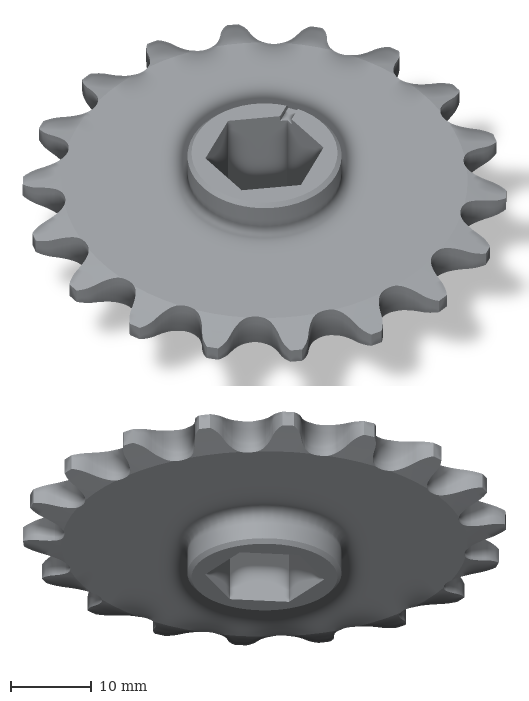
import cadquery as cq
import math


TOOTH_COUNT = 18
CHAIN_PITCH = 9.525
ROLLER_DIAMETER = 5.08
HALF_STEP = 180 / TOOTH_COUNT
PITCH_RADIUS = CHAIN_PITCH / 2 / math.sin(math.radians(HALF_STEP))
TIP_RADIUS = CHAIN_PITCH / 2 * (0.6 + 1 / math.tan(math.radians(HALF_STEP)))

PLATE_THICKNESS = 4.3
TIP_THICKNESS = 1.9
FLAT_FACE_RADIUS = 25.1

HUB_HEIGHT = 13.49
HUB_RADIUS = 9.525
HUB_CHAMFER = 0.508
HUB_FILLET = 1.0
HEX_ACROSS_FLATS = 12.75

SLOT_WIDTH = 1.524
SLOT_DEPTH = 0.8


def polar(origin, radius, angle):
    """Point at a distance and an angle in degrees from the origin point."""
    turn = math.radians(angle)
    return (origin[0] + radius * math.cos(turn), origin[1] + radius * math.sin(turn))


def mirrored(point):
    """The point reflected in the Y axis."""
    return (-point[0], point[1])


def make_gap_cutter():
    """Standard ASA tooth gap, with its seat centred on the +Y axis at the pitch radius."""
    seat_radius = (1.005 * ROLLER_DIAMETER + 0.0762) / 2
    seat_angle = 35 + 60 / TOOTH_COUNT
    flank_sweep = 18 - 56 / TOOTH_COUNT
    tip_angle = 17 - 64 / TOOTH_COUNT
    flank_end_angle = flank_sweep - seat_angle
    flank_offset = 0.8 * ROLLER_DIAMETER
    tip_offset = 1.4 * ROLLER_DIAMETER

    seat_centre = (0, PITCH_RADIUS)
    flank_centre = polar(seat_centre, flank_offset, 180 - seat_angle)
    flank_radius = flank_offset + seat_radius
    tip_centre = polar(seat_centre, tip_offset, -HALF_STEP)

    seat_bottom = polar(seat_centre, seat_radius, -90)
    seat_end = polar(seat_centre, seat_radius, -seat_angle)
    flank_middle = polar(flank_centre, flank_radius, -seat_angle + flank_sweep / 2)
    flank_end = polar(flank_centre, flank_radius, flank_end_angle)

    straight_length = (
        tip_offset * math.sin(math.radians(tip_angle))
        - flank_offset * math.sin(math.radians(flank_sweep))
    )
    straight_end = polar(flank_end, straight_length, flank_end_angle + 90)
    tip_arc_radius = math.dist(tip_centre, straight_end)

    apex_reach = math.acos((tip_offset - CHAIN_PITCH / 2) / tip_arc_radius)
    apex_angle = 180 - HALF_STEP - math.degrees(apex_reach)
    straight_end_angle = 180 + flank_end_angle
    tip_middle = polar(tip_centre, tip_arc_radius, (straight_end_angle + apex_angle) / 2)
    apex = polar(tip_centre, tip_arc_radius, apex_angle)
    outer_point_radius = TIP_RADIUS + CHAIN_PITCH

    return (
        cq.Workplane("XY")
        .workplane(offset=-PLATE_THICKNESS / 2)
        .moveTo(*apex)
        .threePointArc(tip_middle, straight_end)
        .lineTo(*flank_end)
        .threePointArc(flank_middle, seat_end)
        .threePointArc(seat_bottom, mirrored(seat_end))
        .threePointArc(mirrored(flank_middle), mirrored(flank_end))
        .lineTo(*mirrored(straight_end))
        .threePointArc(mirrored(tip_middle), mirrored(apex))
        .lineTo(0, outer_point_radius)
        .close()
        .extrude(PLATE_THICKNESS)
    )


def make_body():
    """Plate and hub as one revolved profile, with coned rims and filleted hub roots."""
    rim_radius = TIP_RADIUS / math.cos(math.radians(HALF_STEP))
    cone_slope = (PLATE_THICKNESS - TIP_THICKNESS) / 2 / (TIP_RADIUS - FLAT_FACE_RADIUS)
    plate_top = PLATE_THICKNESS / 2
    rim_top = plate_top - cone_slope * (rim_radius - FLAT_FACE_RADIUS)
    hub_top = HUB_HEIGHT / 2
    fillet_radius_centre = HUB_RADIUS + HUB_FILLET
    fillet_height_centre = plate_top + HUB_FILLET
    fillet_middle = polar((fillet_radius_centre, fillet_height_centre), HUB_FILLET, 225)

    upper_half = (
        cq.Workplane("XZ")
        .lineTo(rim_radius, 0)
        .lineTo(rim_radius, rim_top)
        .lineTo(FLAT_FACE_RADIUS, plate_top)
        .lineTo(fillet_radius_centre, plate_top)
        .threePointArc(fillet_middle, (HUB_RADIUS, fillet_height_centre))
        .lineTo(HUB_RADIUS, hub_top - HUB_CHAMFER)
        .lineTo(HUB_RADIUS - HUB_CHAMFER, hub_top)
        .lineTo(0, hub_top)
        .close()
        .revolve(360, (0, 0), (0, 1))
    )
    return upper_half.union(upper_half.mirror("XY"))


def make_tip_polygon():
    """Prism whose flats form the flat tooth tips; one flat faces +X."""
    corner_diameter = 2 * TIP_RADIUS / math.cos(math.radians(HALF_STEP))
    return (
        cq.Workplane("XY")
        .workplane(offset=-HUB_HEIGHT / 2)
        .polygon(TOOTH_COUNT, corner_diameter)
        .extrude(HUB_HEIGHT)
        .rotate((0, 0, 0), (0, 0, 1), HALF_STEP)
    )


def cut_teeth(body):
    gap = make_gap_cutter()
    first_gap_turn = HALF_STEP - 90
    for index in range(TOOTH_COUNT):
        turn = first_gap_turn + index * 2 * HALF_STEP
        body = body.cut(gap.rotate((0, 0, 0), (0, 0, 1), turn))
    return body


def make_hex_bore():
    """Through bore with a hexagon corner facing +Y."""
    corner_diameter = HEX_ACROSS_FLATS / math.cos(math.radians(30))
    return (
        cq.Workplane("XY")
        .workplane(offset=-HUB_HEIGHT / 2)
        .polygon(6, corner_diameter)
        .extrude(HUB_HEIGHT)
        .rotate((0, 0, 0), (0, 0, 1), 30)
    )


def make_index_slot():
    """Slot running from the bore outwards through the hub wall on the +Y side."""
    slot_floor = HUB_HEIGHT / 2 - SLOT_DEPTH
    return (
        cq.Workplane("XY")
        .workplane(offset=slot_floor)
        .box(SLOT_WIDTH, HUB_RADIUS, SLOT_DEPTH, centered=(True, False, False))
    )


blank = make_body().intersect(make_tip_polygon())
result = cut_teeth(blank).cut(make_hex_bore()).cut(make_index_slot())